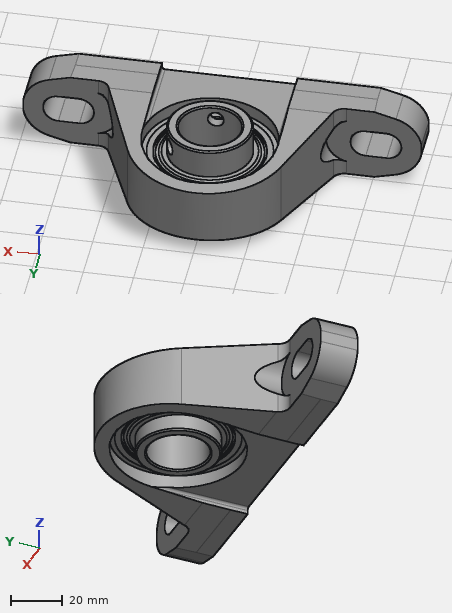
import cadquery as cq
import math

LENGTH = 158.2
FOOT_HEIGHT = 15.8
FOOT_HALF_DEPTH = 16.0
AXIS_HEIGHT = 41.6
HEAD_RADIUS = 32.9
FLANK_ANGLE = 22.0
FOOT_FILLET = 5.0

DRAFT_START = 7.5
DRAFT_BREAK = 19.5
BREAK_HALF_DEPTH = 15.8
HEAD_HALF_DEPTH = 11.4

SLOT_CENTRE = 61.0
SLOT_LENGTH = 20.2
SLOT_WIDTH = 11.9
END_RADIUS = 14.0
END_ANGLE = 15.0
NUT_RADIUS = 10.0
NUT_START = 51.2

RECESS_RADIUS = 26.9
CHANNEL_HALF_DEPTH = 13.1
CHANNEL_FILLET = 1.1

RING_HALF_WIDTH = 7.6
RING_END_RADIUS = 24.8
RING_BORE_RADIUS = 22.3
SLEEVE_RADIUS = 17.0
SLEEVE_BORE_RADIUS = 12.5
SLEEVE_TOP = 19.8
SLEEVE_BOTTOM = -14.5
SLEEVE_CHAMFER = 0.6
SCREW_HOLE_RADIUS = 3.2
SCREW_HOLE_Z = 13.8
SCREW_ANGLES = (-90.0, 30.0)
SEAL_THICKNESS = 1.9
SEAL_LIP_HEIGHT = 0.5
SEAL_RIM_STEP = 0.5
SEAL_RIM_RADIUS = 21.4
SEAL_LIP_TOP_RADIUS = 19.0
SEAL_LIP_BASE_RADIUS = 20.1

HALF_LENGTH = LENGTH / 2
HEAD_TOP = AXIS_HEIGHT + HEAD_RADIUS
SLOT_END_CENTRE = SLOT_CENTRE + (SLOT_LENGTH - SLOT_WIDTH) / 2
SEAT_RADIUS = math.hypot(RING_END_RADIUS, RING_HALF_WIDTH)
OVERSIZE = 2 * FOOT_HALF_DEPTH


def cylinder(radius, z_low, z_high):
    """Cylinder about the bearing axis."""
    return (
        cq.Workplane("XY", origin=(0, AXIS_HEIGHT, z_low))
        .circle(radius)
        .extrude(z_high - z_low)
    )


def elevation_prism():
    """Foot, sloping flanks and round head, extruded along Z."""
    lean = math.radians(FLANK_ANGLE)
    nx = math.cos(lean)
    ny = math.sin(lean)
    head_x = HEAD_RADIUS * nx
    head_y = AXIS_HEIGHT + HEAD_RADIUS * ny

    centre_y = FOOT_HEIGHT + FOOT_FILLET
    centre_x = (HEAD_RADIUS + FOOT_FILLET - (centre_y - AXIS_HEIGHT) * ny) / nx
    flank_x = centre_x - FOOT_FILLET * nx
    flank_y = centre_y - FOOT_FILLET * ny
    bisector = (lean + math.pi / 2) / 2
    mid_x = centre_x - FOOT_FILLET * math.cos(bisector)
    mid_y = centre_y - FOOT_FILLET * math.sin(bisector)

    return (
        cq.Workplane("XY", origin=(0, 0, -FOOT_HALF_DEPTH))
        .moveTo(-HALF_LENGTH, 0)
        .lineTo(HALF_LENGTH, 0)
        .lineTo(HALF_LENGTH, FOOT_HEIGHT)
        .lineTo(centre_x, FOOT_HEIGHT)
        .threePointArc((mid_x, mid_y), (flank_x, flank_y))
        .lineTo(head_x, head_y)
        .threePointArc((0, HEAD_TOP), (-head_x, head_y))
        .lineTo(-flank_x, flank_y)
        .threePointArc((-mid_x, mid_y), (-centre_x, FOOT_HEIGHT))
        .lineTo(-HALF_LENGTH, FOOT_HEIGHT)
        .close()
        .extrude(2 * FOOT_HALF_DEPTH)
    )


def footprint_prism():
    """Rounded-end base outline, extruded along Y."""
    slope = math.radians(END_ANGLE)
    tangent_x = SLOT_END_CENTRE + END_RADIUS * math.sin(slope)
    tangent_z = END_RADIUS * math.cos(slope)
    corner_x = tangent_x - (FOOT_HALF_DEPTH - tangent_z) / math.tan(slope)
    tip_x = SLOT_END_CENTRE + END_RADIUS
    return (
        cq.Workplane("XZ")
        .moveTo(-corner_x, -FOOT_HALF_DEPTH)
        .lineTo(corner_x, -FOOT_HALF_DEPTH)
        .lineTo(tangent_x, -tangent_z)
        .threePointArc((tip_x, 0), (tangent_x, tangent_z))
        .lineTo(corner_x, FOOT_HALF_DEPTH)
        .lineTo(-corner_x, FOOT_HALF_DEPTH)
        .lineTo(-tangent_x, tangent_z)
        .threePointArc((-tip_x, 0), (-tangent_x, -tangent_z))
        .close()
        .extrude(-HEAD_TOP)
    )


def drafted_prism():
    """Side profile that thins toward the head, extruded along X."""
    upper_edge = [
        (0, FOOT_HALF_DEPTH),
        (DRAFT_START, FOOT_HALF_DEPTH),
        (DRAFT_BREAK, BREAK_HALF_DEPTH),
        (HEAD_TOP, HEAD_HALF_DEPTH),
    ]
    lower_edge = [(y, -z) for y, z in reversed(upper_edge)]
    return (
        cq.Workplane("YZ")
        .polyline(upper_edge + lower_edge)
        .close()
        .extrude(HALF_LENGTH, both=True)
    )


def bolt_slots():
    """Obround through slots in both ends of the foot."""
    return (
        cq.Workplane("XZ")
        .pushPoints([(-SLOT_CENTRE, 0), (SLOT_CENTRE, 0)])
        .slot2D(SLOT_LENGTH, SLOT_WIDTH)
        .extrude(-FOOT_HEIGHT)
    )


def nut_clearance(side):
    """Round-ended cut above one foot end; side is -1 or +1."""
    reach = HALF_LENGTH - NUT_START
    above_foot = cq.Workplane("XZ", origin=(side * NUT_START, FOOT_HEIGHT, 0))
    round_end = above_foot.circle(NUT_RADIUS).extrude(-AXIS_HEIGHT)
    open_end = (
        above_foot.center(side * reach / 2, 0)
        .rect(reach, 2 * NUT_RADIUS)
        .extrude(-AXIS_HEIGHT)
    )
    return round_end.union(open_end)


def relief_channel(side):
    """Flat channel from the mounting face to the bearing; side is -1 or +1."""
    return (
        cq.Workplane("XY", origin=(0, AXIS_HEIGHT / 2, side * CHANNEL_HALF_DEPTH))
        .rect(2 * RECESS_RADIUS, AXIS_HEIGHT)
        .extrude(side * OVERSIZE)
        .edges("|Y")
        .edges("<Z" if side > 0 else ">Z")
        .fillet(CHANNEL_FILLET)
    )


def spherical_disc():
    """Disc with a spherical rim, the envelope of the outer ring and its seat."""
    ball = cq.Workplane("XY", origin=(0, AXIS_HEIGHT, 0)).sphere(SEAT_RADIUS)
    return ball.intersect(cylinder(SEAT_RADIUS, -RING_HALF_WIDTH, RING_HALF_WIDTH))


def make_housing():
    body = elevation_prism().intersect(footprint_prism()).intersect(drafted_prism())
    body = body.cut(bolt_slots())
    for side in (-1, 1):
        body = body.cut(nut_clearance(side))
        body = body.cut(relief_channel(side))
    body = body.cut(cylinder(RECESS_RADIUS, RING_HALF_WIDTH, OVERSIZE))
    body = body.cut(cylinder(RECESS_RADIUS, -OVERSIZE, -RING_HALF_WIDTH))
    return body.cut(spherical_disc())


def make_outer_ring():
    bore = cylinder(RING_BORE_RADIUS, -RING_HALF_WIDTH, RING_HALF_WIDTH)
    return spherical_disc().cut(bore)


def make_inner_ring():
    ring = cylinder(SLEEVE_RADIUS, SLEEVE_BOTTOM, SLEEVE_TOP)
    ring = ring.cut(cylinder(SLEEVE_BORE_RADIUS, SLEEVE_BOTTOM, SLEEVE_TOP))
    ring = ring.faces("<Z or >Z").chamfer(SLEEVE_CHAMFER)
    for angle in SCREW_ANGLES:
        direction = (math.cos(math.radians(angle)), math.sin(math.radians(angle)), 0)
        plane = cq.Plane(
            origin=(0, AXIS_HEIGHT, SCREW_HOLE_Z), xDir=(0, 0, 1), normal=direction
        )
        screw_hole = cq.Workplane(plane).circle(SCREW_HOLE_RADIUS).extrude(SLEEVE_RADIUS)
        ring = ring.cut(screw_hole)
    return ring


def make_seal(side):
    """Seal plate with a bevelled inner lip and a stepped outer rim; side is -1 or +1 along Z."""
    lip_z = side * RING_HALF_WIDTH
    plate_z = side * (RING_HALF_WIDTH - SEAL_LIP_HEIGHT)
    rim_z = plate_z - side * SEAL_RIM_STEP
    back_z = plate_z - side * SEAL_THICKNESS
    section = [
        (SLEEVE_RADIUS, back_z),
        (RING_BORE_RADIUS, back_z),
        (RING_BORE_RADIUS, rim_z),
        (SEAL_RIM_RADIUS, rim_z),
        (SEAL_RIM_RADIUS, plate_z),
        (SEAL_LIP_BASE_RADIUS, plate_z),
        (SEAL_LIP_TOP_RADIUS, lip_z),
        (SLEEVE_RADIUS, lip_z),
    ]
    return (
        cq.Workplane("XZ", origin=(0, AXIS_HEIGHT, 0))
        .polyline(section)
        .close()
        .revolve(360, (0, 0, 0), (0, 1, 0))
    )


housing = make_housing()
outer_ring = make_outer_ring()
inner_ring = make_inner_ring()
seals = [make_seal(side) for side in (-1, 1)]

result = cq.Compound.makeCompound(
    [housing.val(), outer_ring.val(), inner_ring.val(), *[seal.val() for seal in seals]]
)